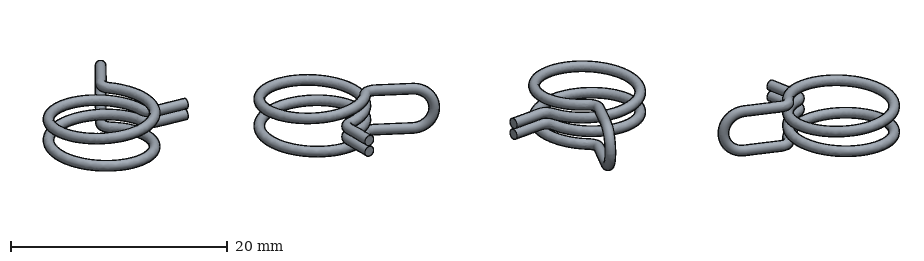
import cadquery as cq
import math


wire_radius = 0.5
coil_inner_diameter = 8.8
bend_radius = 1.0
loop_angle = 120.0
tail_angle = 60.0
loop_height = 2.0
tail_height = 0.55
loop_reach = 11.3
tail_reach = 9.0

coil_radius = coil_inner_diameter / 2 + wire_radius
bend_centre_radius = coil_radius + bend_radius
bend_offset = math.degrees(math.asin(bend_radius / bend_centre_radius))
bend_leg_reach = math.sqrt(bend_centre_radius**2 - bend_radius**2)
loop_end_reach = loop_reach - loop_height
coil_start_angle = tail_angle + bend_offset
coil_end_angle = loop_angle - bend_offset
coil_sweep = 360.0 + coil_end_angle - coil_start_angle

coil_rise = loop_height - tail_height
coil_pitch = coil_rise * 360.0 / coil_sweep
coil_slope = coil_rise / (coil_radius * math.radians(coil_sweep))


def polar(radius, angle, height):
    """Point at a distance from the coil axis, an angle from +X and a height."""
    turn = math.radians(angle)
    return cq.Vector(radius * math.cos(turn), radius * math.sin(turn), height)


def coil_tangent(angle):
    """Counterclockwise, climbing direction of the coil at an angle."""
    return polar(1.0, angle + 90.0, coil_slope)


def bend_middle(coil_angle, leg_angle, height):
    """Midpoint of the bend that joins the coil to a radial leg."""
    centre = polar(bend_centre_radius, coil_angle, height)
    toward_coil = polar(-1.0, coil_angle, 0)
    side = math.copysign(1.0, leg_angle - coil_angle)
    toward_leg = polar(side, leg_angle + 90.0, 0)
    return centre + (toward_coil + toward_leg).normalized() * bend_radius


def tail_edges():
    """Straight tail and the bend that turns it smoothly into the climbing coil."""
    end = polar(tail_reach, tail_angle, tail_height)
    bend_start = polar(bend_leg_reach, tail_angle, tail_height)
    middle = bend_middle(coil_start_angle, tail_angle, tail_height)
    bend_end = polar(coil_radius, coil_start_angle, tail_height)
    inward = polar(-1.0, tail_angle, 0)
    bend = cq.Edge.makeSpline(
        [bend_start, middle, bend_end],
        tangents=[inward, coil_tangent(coil_start_angle)],
    )
    return [cq.Edge.makeLine(end, bend_start), bend]


def coil_edges():
    """Right-handed helix of a little more than one turn."""
    helix = cq.Wire.makeHelix(coil_pitch, coil_rise, coil_radius)
    helix = helix.rotate(cq.Vector(0, 0, 0), cq.Vector(0, 0, 1), coil_start_angle)
    return helix.translate(cq.Vector(0, 0, tail_height)).Edges()


def loop_edges():
    """Bend out of the coil, loop leg and the upper quarter of the round loop end."""
    bend_start = polar(coil_radius, coil_end_angle, loop_height)
    middle = bend_middle(coil_end_angle, loop_angle, loop_height)
    bend_end = polar(bend_leg_reach, loop_angle, loop_height)
    leg_end = polar(loop_end_reach, loop_angle, loop_height)
    diagonal = loop_height * math.sqrt(0.5)
    arc_middle = polar(loop_end_reach + diagonal, loop_angle, diagonal)
    tip = polar(loop_reach, loop_angle, 0)
    bend = cq.Edge.makeSpline(
        [bend_start, middle, bend_end],
        tangents=[coil_tangent(coil_end_angle), polar(1.0, loop_angle, 0)],
    )
    leg = cq.Edge.makeLine(bend_end, leg_end)
    return [bend, leg, cq.Edge.makeThreePointArc(leg_end, arc_middle, tip)]


def upper_half():
    """Round wire swept from the tail end face to the loop tip on the XY plane."""
    path = cq.Wire.assembleEdges(tail_edges() + coil_edges() + loop_edges())
    end_face = cq.Plane(
        origin=polar(tail_reach, tail_angle, tail_height),
        xDir=(0, 0, 1),
        normal=polar(-1.0, tail_angle, 0),
    )
    return cq.Workplane(end_face).circle(wire_radius).sweep(cq.Workplane(path))


upper = upper_half()
result = upper.union(upper.mirror("XY"))